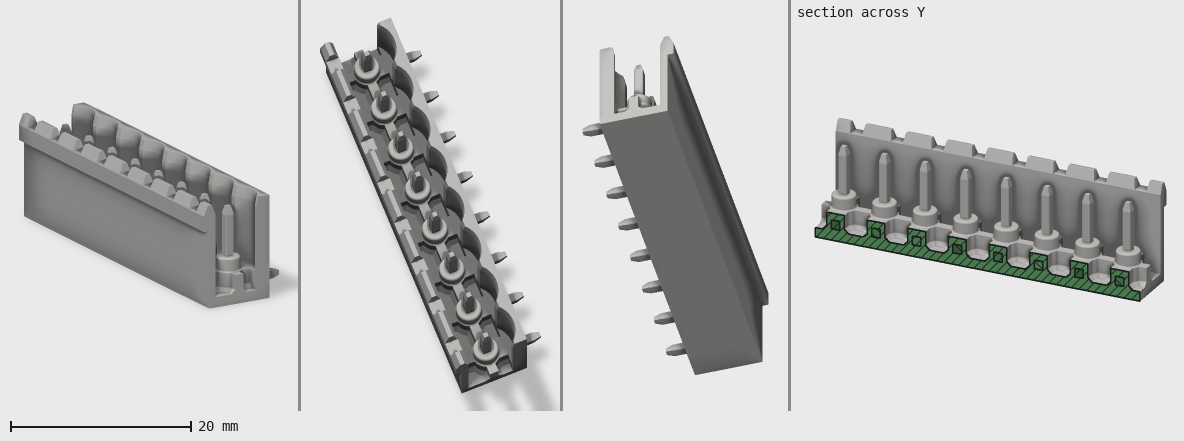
import cadquery as cq
import math


ARC_MID = 1 - math.sqrt(0.5)

pin_count = 8
pitch = 5.0
length = pin_count * pitch
pin_positions = [(i + 0.5) * pitch for i in range(pin_count)]

height = 12.0
depth = 7.8
back_y = depth / 2
front_y = -depth / 2
floor_z = 1.2
back_wall = 1.7
front_wall = 0.85
back_inner_y = back_y - back_wall
front_inner_y = front_y + front_wall

mouth_z = 10.8
back_taper = 0.25
front_inner_taper = 0.5
lip_projection = 0.7
lip_outer_taper = 0.5
lip_bottom_z = 9.0
lip_y = front_y - lip_projection

notch_floor_width = 1.45
notch_top_width = 1.85

scallop_radius = 2.9
scallop_flare = 0.15
scallop_center_y = 0.3

ledge_z = 3.35
skirt = 0.5
rib_width = 1.05
boss_radius = 1.6
back_block_width = 2.25
front_rib_width = 1.0

collar_radius = 1.4
collar_top_z = 4.95
collar_fillet = 0.25

pin_width = 1.0
pin_edge_chamfer = 0.1
post_top_z = 10.7
tail_z = 1.95
tail_projection = 2.6
tip_length = 1.0
tip_width = 0.5


def make_trough():
    """Constant section of the housing: floor, back wall and front wall with its lip."""
    section = [
        (back_y, 0),
        (back_y, height),
        (back_inner_y + back_taper, height),
        (back_inner_y, mouth_z),
        (back_inner_y, floor_z),
        (front_inner_y, floor_z),
        (front_inner_y, mouth_z),
        (front_inner_y - front_inner_taper, height),
        (lip_y + lip_outer_taper, height),
        (lip_y, mouth_z),
        (lip_y, lip_bottom_z),
        (front_y, lip_bottom_z),
        (front_y, 0),
    ]
    return cq.Workplane("YZ").polyline(section).close().extrude(length)


def skirted_section(plane, width):
    """Upright bar section on the floor, with a sloped skirt at each foot."""
    half = width / 2
    foot = half + skirt
    section = [
        (-foot, 0),
        (foot, 0),
        (foot, floor_z),
        (half, floor_z + skirt),
        (half, ledge_z),
        (-half, ledge_z),
        (-half, floor_z + skirt),
        (-foot, floor_z),
    ]
    return cq.Workplane(plane).polyline(section).close()


def make_long_rib():
    """Rib along the whole row, through every post axis."""
    return skirted_section("YZ", rib_width).extrude(length)


def make_cross_bar(x, width, end_y):
    """Bar from the post axis to a wall; the XZ plane extrudes toward -Y."""
    return skirted_section("XZ", width).extrude(-end_y).translate((x, 0, 0))


def make_boss(x):
    """Round skirted boss that blends into a collar with a rounded rim."""
    foot_fillet = boss_radius - collar_radius
    blend_mid = ARC_MID * foot_fillet
    rim_mid = ARC_MID * collar_fillet
    profile = (
        cq.Workplane("XZ")
        .lineTo(boss_radius + skirt, 0)
        .lineTo(boss_radius + skirt, floor_z)
        .lineTo(boss_radius, floor_z + skirt)
        .lineTo(boss_radius, ledge_z)
        .threePointArc(
            (collar_radius + blend_mid, ledge_z + blend_mid),
            (collar_radius, ledge_z + foot_fillet),
        )
        .lineTo(collar_radius, collar_top_z - collar_fillet)
        .threePointArc(
            (collar_radius - rim_mid, collar_top_z - rim_mid),
            (collar_radius - collar_fillet, collar_top_z),
        )
        .lineTo(0, collar_top_z)
        .close()
    )
    boss = profile.revolve(360, (0, 0, 0), (0, 1, 0))
    return boss.translate((x, 0, 0))


def make_scallop(x):
    """Round cutter for the back wall above the ledge, flared at the mouth and clear of the front wall."""
    profile = [
        (0, ledge_z),
        (scallop_radius, ledge_z),
        (scallop_radius, mouth_z),
        (scallop_radius + scallop_flare, height),
        (0, height),
    ]
    round_cut = cq.Workplane("XZ").polyline(profile).close().revolve(360, (0, 0, 0), (0, 1, 0))
    return round_cut.translate((x, scallop_center_y, 0))


def make_notch(x):
    """Trapezoidal gap through the tapered top of the front wall."""
    section = [
        (x - notch_floor_width / 2, mouth_z),
        (x + notch_floor_width / 2, mouth_z),
        (x + notch_top_width / 2, height),
        (x - notch_top_width / 2, height),
    ]
    return cq.Workplane("XZ").polyline(section).close().extrude(-lip_y)


def make_pointed_bar(bar_length):
    """Square bar along Z with broken edges and a blunt pyramid tip at its upper end."""
    shank_length = bar_length - tip_length
    shank = cq.Workplane("XY").rect(pin_width, pin_width).extrude(shank_length)
    tip = (
        cq.Workplane("XY")
        .workplane(offset=shank_length)
        .rect(pin_width, pin_width)
        .workplane(offset=tip_length)
        .rect(tip_width, tip_width)
        .loft(ruled=True)
    )
    chamfered_bar = cq.Workplane("XY").rect(pin_width, pin_width).extrude(bar_length)
    chamfered_bar = chamfered_bar.edges("|Z").chamfer(pin_edge_chamfer)
    return shank.union(tip).intersect(chamfered_bar)


def make_pin(x):
    """Right-angle pin: an upright post and a tail that leaves through the back wall."""
    heel_z = tail_z - pin_width / 2
    heel_y = -pin_width / 2
    post = make_pointed_bar(post_top_z - heel_z).translate((0, 0, heel_z))
    tail = make_pointed_bar(back_y + tail_projection - heel_y)
    tail = tail.rotate((0, 0, 0), (1, 0, 0), -90).translate((0, heel_y, tail_z))
    return post.union(tail).translate((x, 0, 0))


def make_housing(pins):
    """Trough with its reliefs, pedestals and collars, and a matching hole for each pin."""
    housing = make_trough()
    for x in pin_positions:
        housing = housing.cut(make_scallop(x)).cut(make_notch(x))
    housing = housing.union(make_long_rib())
    for x in pin_positions:
        housing = housing.union(make_cross_bar(x, back_block_width, back_inner_y))
        housing = housing.union(make_cross_bar(x, front_rib_width, front_inner_y))
        housing = housing.union(make_boss(x))
    for pin in pins:
        housing = housing.cut(pin)
    return housing


pins = [make_pin(x) for x in pin_positions]
housing = make_housing(pins)

result = cq.Compound.makeCompound([housing.solids().val(), *[pin.solids().val() for pin in pins]])